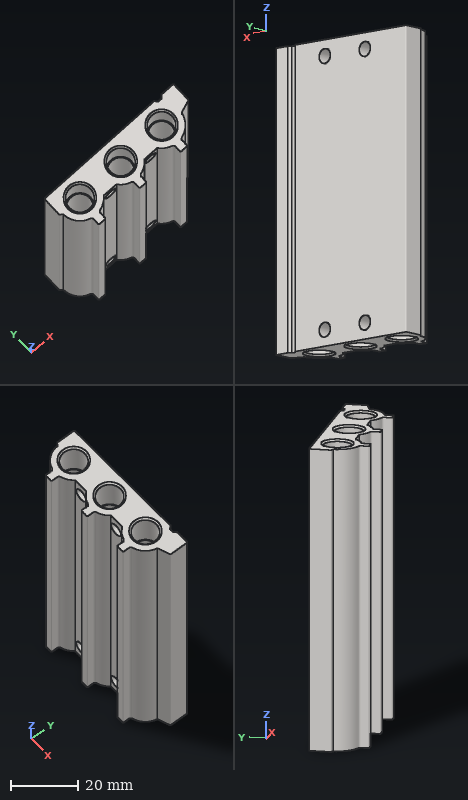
import cadquery as cq
import math

width = 52.1
height = 93.0
depth = 16.8

bore_count = 3
bore_pitch = 16.5
first_bore_x = 8.0
bore_setback = 7.0
bore_diameter = 8.0
tapped_diameter = 8.6
tapped_depth = 11.2
mouth_diameter = 9.8
lobe_radius = 7.1
rib_width = 2.8
rib_root_fillet = 0.79

corner_fillet = 0.3

shoulder_depth = 6.7
valley_depth = 11.25
wing_root_depth = 8.2
shoulder_root_depth = 7.3

groove_x = 45.8
groove_mouth = 3.0
groove_floor = 1.5
groove_depth = 0.9

mount_diameter = 4.5
mount_pitch = 16.0
mount_end_distance = 5.0

bore_xs = [first_bore_x + i * bore_pitch for i in range(bore_count)]
mount_center_x = bore_xs[1]


def lobe_x(y):
    """Half-width of a lobe at the given Y (back face at Y = 0)."""
    return math.sqrt(lobe_radius**2 - (y + bore_setback) ** 2)


def prism(outline):
    return outline.close().extrude(height)


def make_slab():
    wing_root_x = bore_xs[-1] + lobe_x(-wing_root_depth)
    shoulder_root_x = bore_xs[0] - lobe_x(-shoulder_root_depth)
    outline = (
        cq.Workplane("XY")
        .moveTo(0, 0)
        .lineTo(width, 0)
        .lineTo(width, -shoulder_depth)
        .lineTo(wing_root_x, -wing_root_depth)
        .lineTo(bore_xs[-1], -wing_root_depth)
        .lineTo(bore_xs[-1], -valley_depth)
        .lineTo(bore_xs[0], -valley_depth)
        .lineTo(bore_xs[0], -shoulder_root_depth)
        .lineTo(shoulder_root_x, -shoulder_root_depth)
        .lineTo(0, -shoulder_depth)
    )
    return prism(outline)


def make_lobe(x):
    """Half-round lobe on the front of the slab, with a rib on its crest."""
    lobe = prism(
        cq.Workplane("XY")
        .moveTo(x - lobe_radius, -bore_setback)
        .threePointArc((x, -bore_setback - lobe_radius), (x + lobe_radius, -bore_setback))
    )
    rib_length = depth - bore_setback
    rib = (
        cq.Workplane("XY")
        .center(x, -bore_setback - rib_length / 2)
        .rect(rib_width, rib_length)
        .extrude(height)
    )
    return lobe.union(rib)


def rib_root_corners():
    """Concave corners where the rib sides meet the lobes."""
    rib_half = rib_width / 2
    root_y = -bore_setback - math.sqrt(lobe_radius**2 - rib_half**2)
    return [(x + side * rib_half, root_y) for x in bore_xs for side in (-1, 1)]


def outer_corners():
    """Convex corners of the slab ends and of the rib tips."""
    slab_corners = [(x, y) for x in (0, width) for y in (0, -shoulder_depth)]
    rib_tips = [(x + side * rib_width / 2, -depth) for x in bore_xs for side in (-1, 1)]
    return slab_corners + rib_tips


def round_corners(body, corners, radius):
    """Fillet the full-height edges that pass through the given XY corners."""
    for x, y in corners:
        edge_middle = (x, y, height / 2)
        body = body.edges(cq.selectors.NearestToPointSelector(edge_middle)).fillet(radius)
    return body


def cut_groove(body):
    outline = (
        cq.Workplane("XY")
        .moveTo(groove_x - groove_mouth / 2, 0)
        .lineTo(groove_x - groove_floor / 2, -groove_depth)
        .lineTo(groove_x + groove_floor / 2, -groove_depth)
        .lineTo(groove_x + groove_mouth / 2, 0)
    )
    return body.cut(prism(outline))


def make_bore(x):
    """Through bore, widened and chamfered at both ends."""
    chamfer = (mouth_diameter - tapped_diameter) / 2
    section = (
        cq.Workplane("XZ")
        .moveTo(0, 0)
        .lineTo(mouth_diameter / 2, 0)
        .lineTo(tapped_diameter / 2, chamfer)
        .lineTo(tapped_diameter / 2, tapped_depth)
        .lineTo(bore_diameter / 2, tapped_depth)
        .lineTo(bore_diameter / 2, height - tapped_depth)
        .lineTo(tapped_diameter / 2, height - tapped_depth)
        .lineTo(tapped_diameter / 2, height - chamfer)
        .lineTo(mouth_diameter / 2, height)
        .lineTo(0, height)
        .close()
    )
    return section.revolve(360, (0, 0, 0), (0, 1, 0)).translate((x, -bore_setback, 0))


def make_mount_holes():
    return (
        cq.Workplane("XZ")
        .center(mount_center_x, height / 2)
        .rect(mount_pitch, height - 2 * mount_end_distance, forConstruction=True)
        .vertices()
        .circle(mount_diameter / 2)
        .extrude(depth)
    )


body = make_slab()
for bore_x in bore_xs:
    body = body.union(make_lobe(bore_x))

body = round_corners(body, rib_root_corners(), rib_root_fillet)
body = round_corners(body, outer_corners(), corner_fillet)
body = cut_groove(body)
for bore_x in bore_xs:
    body = body.cut(make_bore(bore_x))

result = body.cut(make_mount_holes())